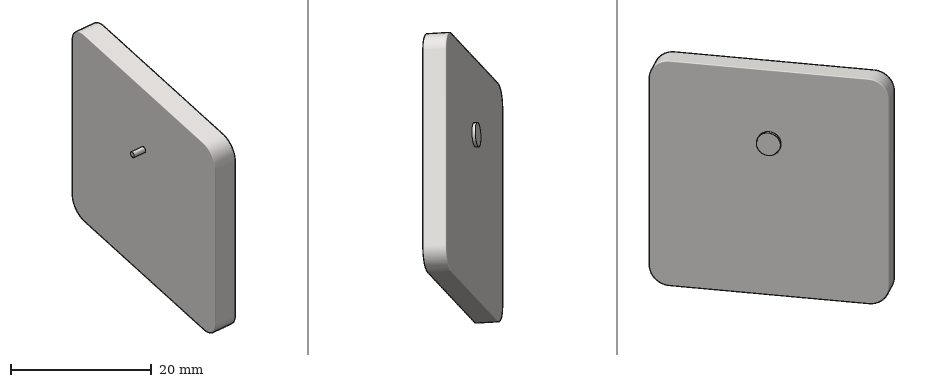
import cadquery as cq

plate_side = 35.0
plate_thickness = 3.5
corner_radius = 3.0
edge_rounding = 0.15

feed_height = 6.2
pin_diameter = 0.9
pin_length = 2.0
pad_diameter = 3.5
pad_thickness = 0.5

front_face = -plate_thickness / 2
back_face = plate_thickness / 2


def make_plate():
    """Plate with rounded corners and a small rounding around both large faces."""
    plate = cq.Workplane("XY").box(plate_side, plate_thickness, plate_side)
    plate = plate.edges("|Y").fillet(corner_radius)
    return plate.faces("<Y or >Y").edges().fillet(edge_rounding)


def make_disc(diameter, start, end):
    """Cylinder on the feed axis, running along Y from start to end."""
    base = cq.Vector(0, start, feed_height)
    along_y = cq.Vector(0, 1, 0)
    return cq.Workplane(cq.Solid.makeCylinder(diameter / 2, end - start, base, along_y))


pin = make_disc(pin_diameter, front_face - pin_length, front_face)
pad = make_disc(pad_diameter, back_face, back_face + pad_thickness)

result = make_plate().union(pin).union(pad)